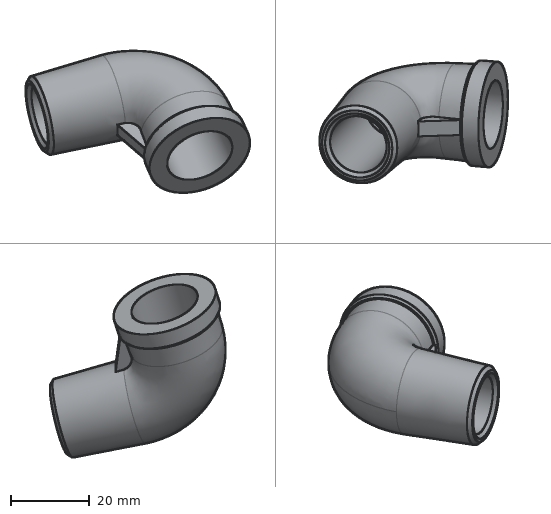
import cadquery as cq
import math


collar_radius = 27.0 / 2
collar_chamfer = 0.7
collar_end_x = 25.85
collar_length = 5.05
collar_start_x = collar_end_x - collar_length

bend_path_radius = 15.0
bend_spigot_radius = 11.15
bend_collar_radius = 12.25
neck_end_radius = 12.5

total_length = 48.5
spigot_end_y = collar_radius - total_length
spigot_tip_radius = 10.35
spigot_chamfer = 1.0

drill_point_angle = 118.0
spigot_bore_radius = 15.0 / 2
spigot_bore_apex_y = 2.55
mouth_chamfer = 1.0
collar_bore_radius = 17.5 / 2
collar_bore_apex_x = 0.5

rib_thickness = 4.0
rib_spigot_y = -17.0
rib_collar_y = -13.05
rib_root_overlap = 2.42


def revolve_about_y(points):
    """Solid of revolution from (radius, y) points."""
    return cq.Workplane("XY").polyline(points).close().revolve(360, (0, 0, 0), (0, 1, 0))


def revolve_about_x(points):
    """Solid of revolution from (x, radius) points."""
    return cq.Workplane("XY").polyline(points).close().revolve(360, (0, 0, 0), (1, 0, 0))


def drill_tip_length(radius):
    return radius / math.tan(math.radians(drill_point_angle / 2))


def make_bend():
    """Solid quarter turn that widens from the spigot to the collar."""
    middle = math.sqrt(0.5) * bend_path_radius
    path = (
        cq.Workplane("XY")
        .moveTo(0, -bend_path_radius)
        .threePointArc(
            (bend_path_radius - middle, middle - bend_path_radius),
            (bend_path_radius, 0),
        )
    )
    sections = (
        cq.Workplane("XZ", origin=(0, -bend_path_radius, 0))
        .circle(bend_spigot_radius)
        .copyWorkplane(cq.Workplane("YZ", origin=(bend_path_radius, 0, 0)))
        .circle(bend_collar_radius)
    )
    return sections.sweep(path, multisection=True)


def make_spigot():
    return revolve_about_y([
        (0, -bend_path_radius),
        (bend_spigot_radius, -bend_path_radius),
        (spigot_tip_radius, spigot_end_y + spigot_chamfer),
        (spigot_tip_radius - spigot_chamfer, spigot_end_y),
        (0, spigot_end_y),
    ])


def make_neck_and_collar():
    return revolve_about_x([
        (bend_path_radius, 0),
        (bend_path_radius, bend_collar_radius),
        (collar_start_x, neck_end_radius),
        (collar_start_x, collar_radius - collar_chamfer),
        (collar_start_x + collar_chamfer, collar_radius),
        (collar_end_x, collar_radius),
        (collar_end_x, 0),
    ])


def make_rib():
    slope = (rib_collar_y - rib_spigot_y) / (collar_start_x - bend_spigot_radius)
    root_x = bend_spigot_radius - rib_root_overlap
    root_y = rib_collar_y + rib_root_overlap
    return (
        cq.Workplane("XY")
        .polyline([
            (root_x, rib_spigot_y - slope * rib_root_overlap),
            (collar_start_x, rib_collar_y),
            (collar_start_x, root_y),
            (root_x, root_y),
        ])
        .close()
        .extrude(rib_thickness / 2, both=True)
    )


def make_spigot_bore():
    return revolve_about_y([
        (0, spigot_end_y),
        (spigot_bore_radius + mouth_chamfer, spigot_end_y),
        (spigot_bore_radius, spigot_end_y + mouth_chamfer),
        (spigot_bore_radius, spigot_bore_apex_y - drill_tip_length(spigot_bore_radius)),
        (0, spigot_bore_apex_y),
    ])


def make_collar_bore():
    return revolve_about_x([
        (collar_end_x, 0),
        (collar_end_x, collar_bore_radius),
        (collar_bore_apex_x + drill_tip_length(collar_bore_radius), collar_bore_radius),
        (collar_bore_apex_x, 0),
    ])


body = make_bend().union(make_spigot()).union(make_neck_and_collar()).union(make_rib())
result = body.cut(make_spigot_bore()).cut(make_collar_bore())